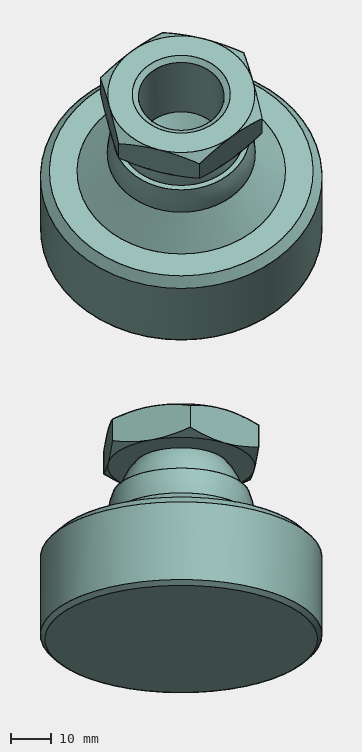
import cadquery as cq
import math

base_radius = 34.5
base_height = 24.0
base_top_chamfer = 2.2
base_bottom_chamfer = 1.1

cone_base_radius = 25.5
cone_height = 7.2
collar_height = 7.2
collar_top_radius = 16.8
collar_base_z = base_height + cone_height
collar_top_z = collar_base_z + collar_height
collar_base_radius = 18.15
socket_floor_z = 13.8

total_height = 55.0
head_height = 9.0
head_sides = 6
head_across_flats = 36.0
head_chamfer_angle = 30.0
ball_radius = 15.65
ball_center_z = 35.5
bore_radius = 10.5
bore_mouth_radius = 12.0
countersink_angle = 120.0
bore_depth = 20.7
drill_point_angle = 118.0
head_bottom_z = total_height - head_height


def revolve_profile(profile):
    """Turn a closed radius/height profile around the Z axis."""
    return profile.close().revolve(360, (0, 0, 0), (0, 1, 0))


def make_ball():
    return cq.Workplane("XY").sphere(ball_radius).translate((0, 0, ball_center_z))


def make_socket_blank():
    """Cylindrical shank inside the base, then the cone and the collar."""
    sphere_center_z = (
        (collar_top_radius**2 + collar_top_z**2 - collar_base_radius**2 - collar_base_z**2)
        / (2 * collar_height)
    )
    sphere_radius = math.hypot(collar_top_radius, collar_top_z - sphere_center_z)
    middle_z = (collar_base_z + collar_top_z) / 2
    middle_radius = math.sqrt(sphere_radius**2 - (middle_z - sphere_center_z) ** 2)
    return revolve_profile(
        cq.Workplane("XZ")
        .moveTo(0, socket_floor_z)
        .lineTo(cone_base_radius, socket_floor_z)
        .lineTo(cone_base_radius, base_height)
        .lineTo(collar_base_radius, collar_base_z)
        .threePointArc((middle_radius, middle_z), (collar_top_radius, collar_top_z))
        .lineTo(0, collar_top_z)
    )


def make_base():
    """Disc with chamfered rims and a round pocket that holds the socket."""
    disc = cq.Workplane("XY").circle(base_radius).extrude(base_height)
    disc = disc.faces(">Z").chamfer(base_top_chamfer)
    disc = disc.faces("<Z").chamfer(base_bottom_chamfer)
    return disc.cut(make_socket_blank())


def make_socket():
    """Socket with a spherical seat for the ball."""
    return make_socket_blank().cut(make_ball())


def make_head():
    """Hexagon with two flats facing X, its corners turned off at both ends."""
    flat_radius = head_across_flats / 2
    corner_radius = flat_radius / math.cos(math.pi / head_sides)
    corner_drop = (corner_radius - flat_radius) * math.tan(math.radians(head_chamfer_angle))
    hexagon = (
        cq.Workplane("XY", origin=(0, 0, head_bottom_z))
        .transformed(rotate=(0, 0, 90))
        .polygon(head_sides, 2 * corner_radius)
        .extrude(head_height)
    )
    envelope = revolve_profile(
        cq.Workplane("XZ")
        .moveTo(0, head_bottom_z)
        .lineTo(flat_radius, head_bottom_z)
        .lineTo(corner_radius, head_bottom_z + corner_drop)
        .lineTo(corner_radius, total_height - corner_drop)
        .lineTo(flat_radius, total_height)
        .lineTo(0, total_height)
    )
    return hexagon.intersect(envelope)


def make_bore():
    """Blind drilled hole with a countersunk mouth and a conical bottom."""
    point_depth = bore_radius / math.tan(math.radians(drill_point_angle / 2))
    countersink_depth = (bore_mouth_radius - bore_radius) / math.tan(math.radians(countersink_angle / 2))
    bore_floor_z = total_height - bore_depth
    return revolve_profile(
        cq.Workplane("XZ")
        .moveTo(0, bore_floor_z - point_depth)
        .lineTo(bore_radius, bore_floor_z)
        .lineTo(bore_radius, total_height - countersink_depth)
        .lineTo(bore_mouth_radius, total_height)
        .lineTo(0, total_height)
    )


def make_stud():
    """Ball and hexagonal head in one piece, bored from the top."""
    return make_ball().union(make_head()).cut(make_bore())


base = make_base()
socket = make_socket()
stud = make_stud()

result = cq.Compound.makeCompound([base.val(), socket.val(), stud.val()])